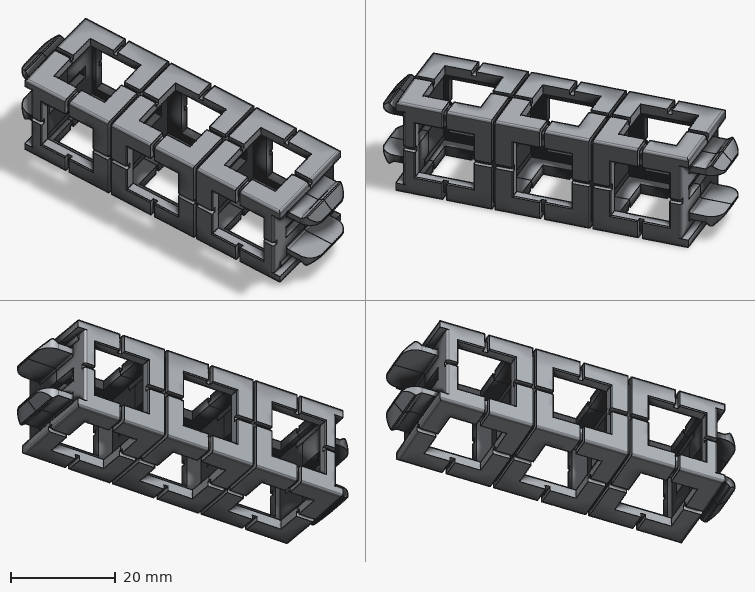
import cadquery as cq
import math

overall_length = 70.0
cell = 20.0
cell_count = 3
draft = 0.5
edge_radius = 0.5

wall = 2.0
thin_wall = 1.5
end_recess = 1.5
opening = 12.0
slot_height = 3.0
window_chamfer = 0.2

groove_depth = 1.0
groove_width = 1.0
joint_groove_width = 0.8

pin_diameter = 1.95
pin_height = 7.5
pin_reach = 2.0

clip_width = 11.8
clip_thickness = 1.5
hook_height = 0.8
hook_ramp = 1.0
hook_offset = 2.8
hook_land = 0.35
clip_corner_radius = 3.15
clip_root_fillet = 0.5

half_cell = cell / 2
body_length = cell_count * cell
lip_x = body_length / 2
end_wall_x = lip_x - end_recess
cavity_half = half_cell - wall
clip_tip_x = overall_length / 2
clip_outer_z = opening / 2
clip_inner_z = clip_outer_z - clip_thickness

cell_centers = [(i - (cell_count - 1) / 2) * cell for i in range(cell_count)]
joint_centers = [(i - cell_count / 2) * cell for i in range(1, cell_count)]
wall_centers = joint_centers + [side * (end_wall_x - thin_wall / 2) for side in (-1, 1)]


def drafted_box(x_min, x_max, z_min, z_max, depth, angle=draft):
    """Block from the parting plane toward -Y, shrinking with the draft angle."""
    return (
        cq.Workplane("XZ")
        .center((x_min + x_max) / 2, (z_min + z_max) / 2)
        .rect(x_max - x_min, z_max - z_min)
        .extrude(depth, taper=angle)
    )


def long_block(inset):
    """Half beam over its full length, its long faces set in by the given distance."""
    half = half_cell - inset
    return drafted_box(-lip_x, lip_x, -half, half, half)


def long_edges(block):
    """Top and bottom edges along the side face."""
    return block.faces("<Y").edges("|X").vals()


def outer_block():
    """Half beam with rounded edges and a recess between the lips of both ends."""
    block = long_block(0)
    lip_end_edges = block.faces("<X or >X").edges(">Z or <Z").vals()
    block = block.newObject(long_edges(block) + lip_end_edges).fillet(edge_radius)

    end_walls = drafted_box(-end_wall_x, end_wall_x, -half_cell, half_cell, half_cell)
    end_walls = end_walls.faces("<Y").edges("|Z").fillet(edge_radius)
    between_lips = drafted_box(-body_length, body_length, -cavity_half, cavity_half, half_cell, -draft)
    return block.cut(between_lips.cut(end_walls))


def groove_core():
    """Half beam inside the floors of the grooves."""
    block = long_block(groove_depth)
    return block.newObject(long_edges(block)).fillet(edge_radius)


def cut_cavities(body):
    """Hollow each cell, leaving thin partitions and end walls."""
    inner_end = end_wall_x - thin_wall
    for center in cell_centers:
        x_min = max(center - half_cell + thin_wall / 2, -inner_end)
        x_max = min(center + half_cell - thin_wall / 2, inner_end)
        body = body.cut(drafted_box(x_min, x_max, -cavity_half, cavity_half, cavity_half))
    return body


def cut_windows(body):
    """Square windows through all four long faces of each cell."""
    half = opening / 2
    for center in cell_centers:
        body = body.cut(drafted_box(center - half, center + half, -half_cell, half_cell, half))
        side_window = cq.Workplane("XZ").center(center, 0).rect(opening, opening).extrude(half_cell)
        flare_size = opening + 2 * window_chamfer
        flare = (
            cq.Workplane("XZ", origin=(center, -half_cell, 0))
            .rect(flare_size, flare_size)
            .extrude(-window_chamfer, taper=45)
        )
        body = body.cut(side_window).cut(flare)
    return body


def cut_slots(body):
    """One slot running lengthwise through the end walls and partitions."""
    half = slot_height / 2
    return body.cut(drafted_box(-lip_x, lip_x, -half, half, opening / 2))


def cut_grooves(body):
    """Grooves in the outer faces down to a smaller rounded core."""
    size = 2 * overall_length
    slabs = [cq.Workplane().center(x, 0).box(groove_width, size, size) for x in cell_centers]
    slabs += [cq.Workplane().center(x, 0).box(joint_groove_width, size, size) for x in joint_centers]
    slabs.append(cq.Workplane().box(size, groove_width, size))
    slabs.append(cq.Workplane().box(size, size, groove_width))
    core = groove_core()
    for slab in slabs:
        body = body.cut(slab.cut(core))
    return body


def half_clip():
    """Half of the upper snap clip on the +X end."""
    root_x = end_wall_x - thin_wall / 2
    fillet_x = end_wall_x + clip_root_fillet
    crest_x = lip_x + hook_offset
    shoulder_x = crest_x - hook_ramp
    crest_z = clip_outer_z + hook_height
    lead_in_x = crest_x + hook_land
    tip_z = crest_z - (clip_tip_x - lead_in_x)
    bulge = clip_root_fillet * (1 - math.sqrt(0.5))
    clip = (
        cq.Workplane("XZ")
        .moveTo(root_x, clip_inner_z - clip_root_fillet)
        .lineTo(end_wall_x, clip_inner_z - clip_root_fillet)
        .threePointArc((end_wall_x + bulge, clip_inner_z - bulge), (fillet_x, clip_inner_z))
        .lineTo(clip_tip_x, clip_inner_z)
        .lineTo(clip_tip_x, tip_z)
        .lineTo(lead_in_x, crest_z)
        .lineTo(crest_x, crest_z)
        .lineTo(shoulder_x, clip_outer_z)
        .lineTo(fillet_x, clip_outer_z)
        .threePointArc(
            (end_wall_x + bulge, clip_outer_z + bulge),
            (end_wall_x, clip_outer_z + clip_root_fillet),
        )
        .lineTo(root_x, clip_outer_z + clip_root_fillet)
        .close()
        .extrude(clip_width / 2, taper=draft)
    )
    plan = (
        cq.Workplane("XY")
        .rect(overall_length, clip_width)
        .extrude(half_cell)
        .edges("|Z")
        .fillet(clip_corner_radius)
    )
    return clip.intersect(plan)


def add_clips(body):
    """Upper and lower half clips on both ends."""
    clip = half_clip()
    pair = clip.union(clip.mirror("XY"))
    return body.union(pair).union(pair.mirror("YZ"))


def make_half():
    """The half on the -Y side, without pins."""
    body = outer_block()
    body = cut_cavities(body)
    body = cut_windows(body)
    body = cut_slots(body)
    body = cut_grooves(body)
    return add_clips(body)


def make_pins():
    """Dowel pins centred in the end walls and partitions, near the top and bottom."""
    places = [(x, side * pin_height) for x in wall_centers for side in (-1, 1)]
    return (
        cq.Workplane("XZ", origin=(0, pin_reach, 0))
        .pushPoints(places)
        .circle(pin_diameter / 2)
        .extrude(pin_reach + cavity_half)
    )


def make_pin_half():
    """The half on the -Y side, with the pins fixed in its walls."""
    return make_half().union(make_pins())


def make_socket_half():
    """The half on the +Y side, with sockets for the pins."""
    return make_half().mirror("XZ").cut(make_pins())


pin_half = make_pin_half()
socket_half = make_socket_half()

result = cq.Compound.makeCompound([pin_half.solids().val(), socket_half.solids().val()])